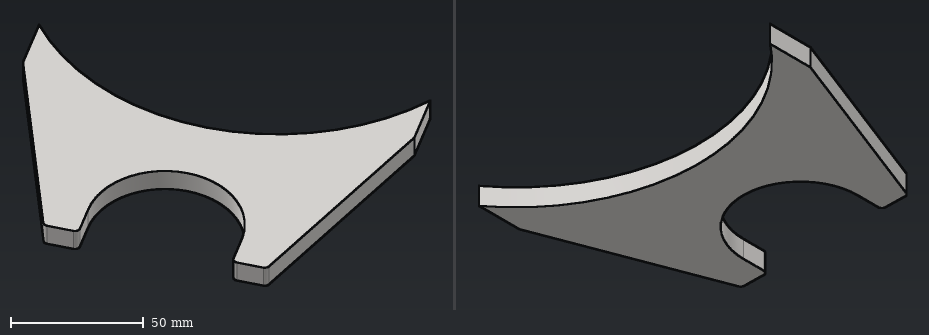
import cadquery as cq

width = 153.6
length = 108.0
thickness = 9.2

saddle_depth = 38.1
horn_side_length = 21.8
foot_outer_span = 87.5

slot_width = 60.2
slot_height = 43.2

foot_corner_radius = 2.0

half_width = width / 2
half_length = length / 2
half_foot_span = foot_outer_span / 2
slot_radius = slot_width / 2
slot_arc_start_y = slot_height - slot_radius - half_length
shoulder_y = half_length - horn_side_length

plate = (
    cq.Workplane("XY")
    .moveTo(-half_width, half_length)
    .threePointArc((0, half_length - saddle_depth), (half_width, half_length))
    .lineTo(half_width, shoulder_y)
    .lineTo(half_foot_span, -half_length)
    .lineTo(slot_radius, -half_length)
    .lineTo(slot_radius, slot_arc_start_y)
    .threePointArc((0, slot_height - half_length), (-slot_radius, slot_arc_start_y))
    .lineTo(-slot_radius, -half_length)
    .lineTo(-half_foot_span, -half_length)
    .lineTo(-half_width, shoulder_y)
    .close()
    .extrude(thickness)
)

foot_edges = plate.faces("<Y").edges("|Z")
result = foot_edges.fillet(foot_corner_radius)